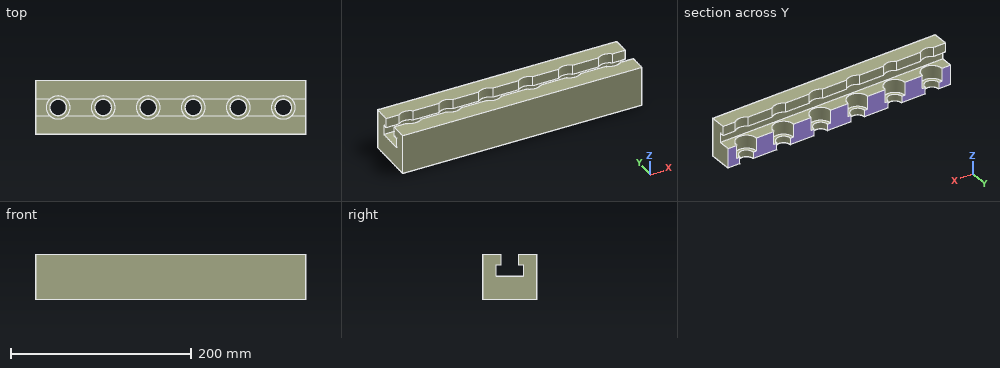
import cadquery as cq

length = 300.0
width = 60.0
height = 50.0

mouth_width = 19.2
lip_thickness = 12.0
channel_width = 30.0
slot_depth = 24.0

hole_count = 6
hole_spacing = length / hole_count
hole_diameter = 18.0
counterbore_diameter = 26.0
counterbore_depth = 17.0


slot_floor = height - slot_depth


def slot_cut(cut_width, top):
    """Full-length cut centred on the rail, from the slot floor up to the given height."""
    return cq.Workplane("XY", origin=(0, 0, slot_floor)).box(
        length, cut_width, top - slot_floor, centered=(True, True, False)
    )


def hole_row(diameter, bottom):
    """Row of evenly spaced round cuts from the given height up to the top face."""
    return (
        cq.Workplane("XY", origin=(0, 0, bottom))
        .rarray(hole_spacing, 3, hole_count, 1)
        .circle(diameter / 2)
        .extrude(height - bottom)
    )


body = cq.Workplane("XY").box(length, width, height, centered=(True, True, False))
mouth = slot_cut(mouth_width, height)
channel = slot_cut(channel_width, height - lip_thickness)

bolt_holes = hole_row(hole_diameter, 0)
counterbores = hole_row(counterbore_diameter, slot_floor - counterbore_depth)

result = body.cut(mouth).cut(channel).cut(bolt_holes).cut(counterbores)